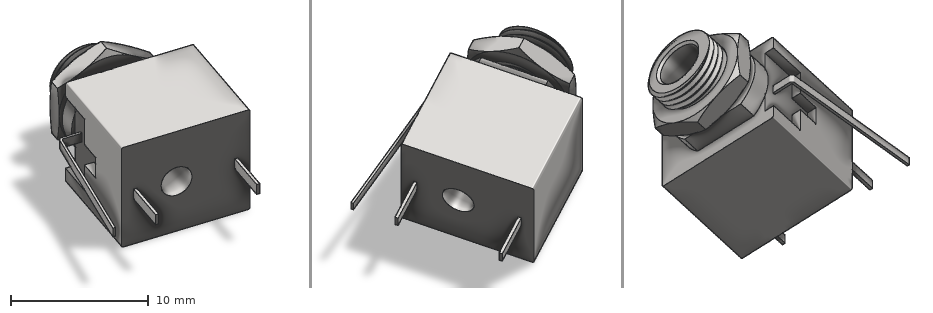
import cadquery as cq
import math


TOTAL_LENGTH = 18.02
NOSE_LENGTH = 5.5
COLLAR_LENGTH = 1.5
BODY_LENGTH = 9.0
BODY_END = NOSE_LENGTH + BODY_LENGTH
COLLAR_START = NOSE_LENGTH - COLLAR_LENGTH

BODY_HEIGHT = 9.0
BODY_FRONT_Y = -4.5
BODY_BACK_Y = 6.0
BODY_EDGE_RADIUS = 0.2

THREAD_DIAMETER = 6.0
THREAD_DEPTH = 0.3
THREAD_TURNS = 8
THREAD_PITCH = COLLAR_START / THREAD_TURNS
RUNOUT_TURNS = 2
RIDGE_BASE_GAP = 0.04
CREST_X = 0.25
RIDGE_OVERLAP = 0.02
CORE_RADIUS = THREAD_DIAMETER / 2 - THREAD_DEPTH

ACROSS_FLATS = 8.0
NUT_START = 2.0
NUT_LENGTH = 1.5
NUT_CHAMFER = 0.29
NUT_CORNER_DIAMETER = ACROSS_FLATS / math.cos(math.radians(30))

BORE_DIAMETER = 3.59
BORE_CHAMFER = 0.2
THROUGH_DIAMETER = 2.5

RECESS_DEPTH = 0.8
RECESS_HEIGHT = 6.43
RECESS_LENGTH = 3.06
NOTCH_HEIGHT = 1.84
NOTCH_LENGTH = 4.85

LEAF_WIDTH = 0.8
PIN_WIDTH = 0.9
PIN_THICKNESS = 0.25
PIN_CENTRES_Y = (-3.37, 4.87)
LEAF_THICKNESS = 0.2
LEAF_START_X = 6.4
LEAF_BEND_Y = -5.51
LEAF_TIP_Y = -6.97
LEAF_BEND_RADIUS = 0.3
CONTACT_ROOT = 0.18


def rod(diameter, start, length):
    """Cylinder along the jack axis."""
    return cq.Workplane("YZ").workplane(offset=start).circle(diameter / 2).extrude(length)


def slab(x_start, x_end, y_start, y_end, height):
    """Block centred on z = 0."""
    size = (x_end - x_start, y_end - y_start, height)
    centre = ((x_start + x_end) / 2, (y_start + y_end) / 2, 0)
    return cq.Workplane("XY").box(*size).translate(centre)


def make_body():
    block = slab(NOSE_LENGTH, BODY_END, BODY_FRONT_Y, BODY_BACK_Y, BODY_HEIGHT)
    block = block.edges("|X").fillet(BODY_EDGE_RADIUS)
    floor_y = BODY_FRONT_Y + RECESS_DEPTH
    for length, height in ((RECESS_LENGTH, RECESS_HEIGHT), (NOTCH_LENGTH, NOTCH_HEIGHT)):
        block = block.cut(slab(NOSE_LENGTH, NOSE_LENGTH + length, BODY_FRONT_Y, floor_y, height))
    return block


def make_collar():
    """Round collar with flats above and below, level with the thread crest."""
    flats = slab(COLLAR_START, NOSE_LENGTH, -ACROSS_FLATS / 2, ACROSS_FLATS / 2, THREAD_DIAMETER)
    return rod(ACROSS_FLATS, COLLAR_START, COLLAR_LENGTH).intersect(flats)


def make_thread():
    """Core with a right-handed V ridge, trimmed at the nose face and the collar."""
    runout = RUNOUT_TURNS * THREAD_PITCH
    helix_start = CREST_X - runout
    helix_length = COLLAR_START + runout - helix_start
    helix = cq.Wire.makeHelix(THREAD_PITCH, helix_length, CORE_RADIUS)
    inner_radius = CORE_RADIUS - RIDGE_OVERLAP
    half_base = (THREAD_PITCH - RIDGE_BASE_GAP) / 2
    ridge = (
        cq.Workplane("XZ")
        .moveTo(inner_radius, -half_base)
        .lineTo(THREAD_DIAMETER / 2, 0)
        .lineTo(inner_radius, half_base)
        .close()
        .sweep(cq.Workplane(obj=helix), isFrenet=True)
    )
    nose_plane = cq.Plane(origin=(helix_start, 0, 0), xDir=(0, 1, 0), normal=(1, 0, 0))
    ridge = cq.Workplane(obj=ridge.val().moved(cq.Location(nose_plane)))
    ridge = ridge.intersect(rod(ACROSS_FLATS, 0, COLLAR_START))
    core = rod(2 * CORE_RADIUS, 0, COLLAR_START).rotate((0, 0, 0), (1, 0, 0), 180)
    return core.union(ridge)


def make_nut():
    """Hexagon with corners up and down, its corners turned off on both faces."""
    hexagon = (
        cq.Workplane("YZ")
        .workplane(offset=NUT_START)
        .transformed(rotate=(0, 0, 90))
        .polygon(6, NUT_CORNER_DIAMETER)
        .extrude(NUT_LENGTH)
    )
    flat_radius = ACROSS_FLATS / 2
    corner_radius = NUT_CORNER_DIAMETER / 2
    nut_end = NUT_START + NUT_LENGTH
    envelope = (
        cq.Workplane("XY")
        .moveTo(NUT_START, 0)
        .lineTo(NUT_START, flat_radius)
        .lineTo(NUT_START + NUT_CHAMFER, corner_radius)
        .lineTo(nut_end - NUT_CHAMFER, corner_radius)
        .lineTo(nut_end, flat_radius)
        .lineTo(nut_end, 0)
        .close()
        .revolve(360, (0, 0, 0), (1, 0, 0))
    )
    return hexagon.intersect(envelope)


def make_bore():
    """Chamfered plug bore down to the body, then a smaller hole right through."""
    mouth_radius = BORE_DIAMETER / 2 + BORE_CHAMFER
    profile = (
        cq.Workplane("XY")
        .lineTo(0, mouth_radius)
        .lineTo(BORE_CHAMFER, BORE_DIAMETER / 2)
        .lineTo(NOSE_LENGTH, BORE_DIAMETER / 2)
        .lineTo(NOSE_LENGTH, THROUGH_DIAMETER / 2)
        .lineTo(BODY_END, THROUGH_DIAMETER / 2)
        .lineTo(BODY_END, 0)
        .close()
    )
    return profile.revolve(360, (0, 0, 0), (1, 0, 0))


def make_pin(centre_y):
    half = PIN_THICKNESS / 2
    return slab(BODY_END - CONTACT_ROOT, TOTAL_LENGTH, centre_y - half, centre_y + half, PIN_WIDTH)


def make_leaf():
    """Strip leaving the recess floor, bent back to run at a shallow angle to the tip."""
    root_y = BODY_FRONT_Y + RECESS_DEPTH + CONTACT_ROOT
    inner_x = LEAF_START_X + LEAF_THICKNESS
    slope = (LEAF_TIP_Y - LEAF_BEND_Y) / (TOTAL_LENGTH - LEAF_START_X)
    rise = LEAF_THICKNESS * math.hypot(1, slope)
    strip = (
        cq.Workplane("XY")
        .workplane(offset=-LEAF_WIDTH / 2)
        .moveTo(LEAF_START_X, root_y)
        .lineTo(LEAF_START_X, LEAF_BEND_Y)
        .lineTo(TOTAL_LENGTH, LEAF_TIP_Y)
        .lineTo(TOTAL_LENGTH, LEAF_TIP_Y + rise)
        .lineTo(inner_x, LEAF_BEND_Y + slope * LEAF_THICKNESS + rise)
        .lineTo(inner_x, root_y)
        .close()
        .extrude(LEAF_WIDTH)
    )
    outer_bend = cq.selectors.NearestToPointSelector((LEAF_START_X, LEAF_BEND_Y, 0))
    inner_bend = cq.selectors.NearestToPointSelector((inner_x, LEAF_BEND_Y + rise, 0))
    strip = strip.edges("|Z").edges(outer_bend).fillet(LEAF_BEND_RADIUS)
    return strip.edges("|Z").edges(inner_bend).fillet(LEAF_BEND_RADIUS - LEAF_THICKNESS)


result = make_thread().union(make_nut()).union(make_collar()).union(make_body())
result = result.cut(make_bore())
for pin_y in PIN_CENTRES_Y:
    result = result.union(make_pin(pin_y))
result = result.union(make_leaf())
result = cq.Workplane(obj=result.solids().val())